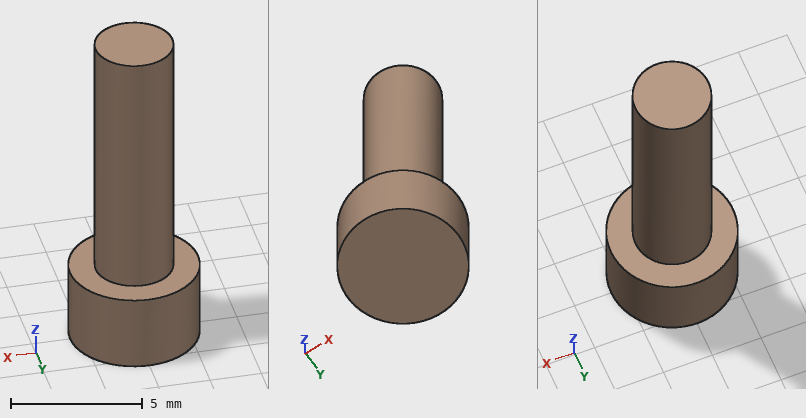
import cadquery as cq

head_diameter = 5.0
head_height = 3.0
shank_diameter = 3.0
shank_length = 10.0


def make_head():
    """Cylindrical head resting on the XY plane."""
    return cq.Workplane("XY").circle(head_diameter / 2).extrude(head_height)


def add_shank(head):
    """Plain cylindrical shank rising from the centre of the head's upper face."""
    return head.faces(">Z").workplane().circle(shank_diameter / 2).extrude(shank_length)


result = add_shank(make_head())